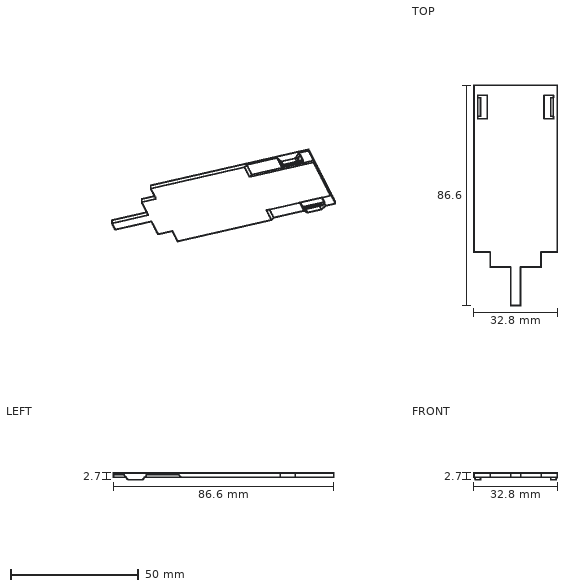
import cadquery as cq

total_length = 86.6
body_width = 32.8
body_length = 65.55
shoulder_width = 20.0
shoulder_length = 6.0
tail_width = 4.0

plate_thickness = 1.7
thin_thickness = 0.8
hook_depth = 2.7

strip_width = 6.1
strip_length = 26.6

slot_edge_gap = 1.6
slot_end_gap = 4.0
slot_width = 3.6
slot_length = 9.1

hook_end_gap = 4.1
hook_root_length = 9.0
hook_slope_run = 1.65
hook_overhang = 1.1
hook_outer_taper = 0.5

back_y = total_length / 2
edge_x = body_width / 2
shoulder_y = back_y - body_length
tail_root_y = shoulder_y - shoulder_length


def centered_block(width, y_front, y_back):
    """Plate-thick block centred on X, with its top at Z = 0."""
    return cq.Workplane("XY").box(
        width, y_back - y_front, plate_thickness, centered=(True, False, False)
    ).translate((0, y_front, -plate_thickness))


def strip_cut():
    """Material removed under the -X edge, ending in a 45 degree ramp."""
    ramp_run = plate_thickness - thin_thickness
    ramp_foot_y = back_y - strip_length
    profile = [
        (back_y, -thin_thickness),
        (ramp_foot_y + ramp_run, -thin_thickness),
        (ramp_foot_y, -plate_thickness),
        (back_y, -plate_thickness),
    ]
    return cq.Workplane("YZ", origin=(-edge_x, 0, 0)).polyline(profile).close().extrude(strip_width)


def slot_cut():
    """Rectangular slot beside the -X edge."""
    return cq.Workplane("XY").box(
        slot_width, slot_length, plate_thickness, centered=False
    ).translate((-edge_x + slot_edge_gap, back_y - slot_end_gap - slot_length, -plate_thickness))


def hook():
    """Trapezoidal hook whose toe reaches inward beneath the slot."""
    hook_back_y = back_y - hook_end_gap
    hook_front_y = hook_back_y - hook_root_length
    side_profile = [
        (hook_back_y, -thin_thickness),
        (hook_back_y - hook_slope_run, -hook_depth),
        (hook_front_y + hook_slope_run, -hook_depth),
        (hook_front_y, -thin_thickness),
    ]
    toe_x = slot_edge_gap + hook_overhang
    side_prism = cq.Workplane("YZ", origin=(-edge_x, 0, 0)).polyline(side_profile).close().extrude(toe_x)
    end_profile = [
        (0, -thin_thickness),
        (hook_outer_taper, -hook_depth),
        (toe_x, -hook_depth),
        (toe_x, -plate_thickness),
        (slot_edge_gap, -plate_thickness),
        (slot_edge_gap, -thin_thickness),
    ]
    end_prism = (
        cq.Workplane("XZ", origin=(-edge_x, back_y, 0)).polyline(end_profile).close().extrude(total_length)
    )
    return side_prism.intersect(end_prism)


result = centered_block(body_width, shoulder_y, back_y)
result = result.union(centered_block(shoulder_width, tail_root_y, shoulder_y))
result = result.union(centered_block(tail_width, -back_y, tail_root_y))

for cutter in (strip_cut(), slot_cut()):
    result = result.cut(cutter).cut(cutter.mirror("YZ"))
result = result.union(hook()).union(hook().mirror("YZ"))